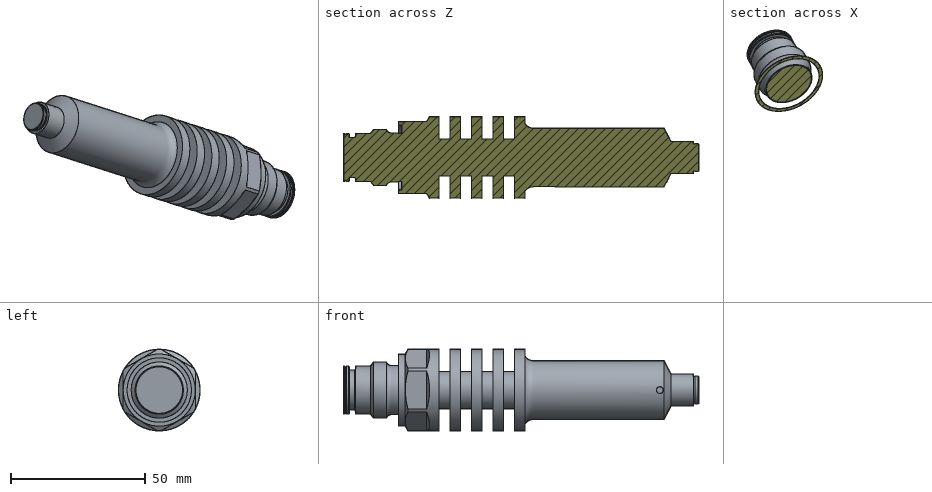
import cadquery as cq
import math

TOTAL_LENGTH = 132.6

NOSE_DIAMETER = 18.0
LIP_END = 0.3
LIP_GROOVE_DIAMETER = 17.4
RING_START = 0.8
RING_END = 2.2
RING_BEVEL = 0.3
SEAL_GROOVE_DIAMETER = 15.0
SEAL_GROOVE_END = 4.5
SEAL_GROOVE_BEVEL = 0.4

COLLAR_DIAMETER = 20.95
COLLAR_RAMP_START = 10.0
COLLAR_START = 11.2
COLLAR_END = 16.0
NECK_DIAMETER = 18.4
NECK_BLEND_RADIUS = 2.0

WASHER_DIAMETER = 26.9
WASHER_START = 20.5
FACE_GROOVE_INNER_DIAMETER = 18.0
FACE_GROOVE_OUTER_DIAMETER = 24.0
FACE_GROOVE_DEPTH = 1.2
HEX_ACROSS_FLATS = 27.0
HEX_START = 23.0
HEX_END = 31.0
HEX_BEVEL_ANGLE = 30.0
FLAT_RUNOUT = 1.1

FIN_DIAMETER = 30.5
FIN_CORE_DIAMETER = 14.0
FIN_THICKNESS = 4.0
FIN_PITCH = 8.0
FIN_GAP_COUNT = 4
FIRST_GAP_START = 35.7

TUBE_DIAMETER = 22.0
TUBE_BLEND_RADIUS = 4.0
TUBE_BLEND_FRONT_DIAMETER = 25.2
TUBE_END = 119.6
CONE_END = 122.2

PIN_DIAMETER = 2.5
PIN_X = 118.0

CONNECTOR_DIAMETER = 12.0
CONNECTOR_END = 130.5
TIP_NECK_DIAMETER = 10.2
TIP_START = 131.2
TIP_DIAMETER = 10.5
TIP_BEVEL = 0.3


def ring(start, end, inner_diameter, outer_diameter):
    """Ring of rectangular section about the X axis, from start to end."""
    annulus = cq.Workplane("YZ", origin=(start, 0, 0)).circle(outer_diameter / 2).circle(inner_diameter / 2)
    return annulus.extrude(end - start)


def add_blend(profile, start, start_radius, end_radius, blend_radius):
    """Concave arc from a larger radius down to a smaller one, ending tangent to the X axis."""
    start_angle = math.acos(1 - (start_radius - end_radius) / blend_radius)
    end = start + blend_radius * math.sin(start_angle)
    middle = (
        end - blend_radius * math.sin(start_angle / 2),
        end_radius + blend_radius * (1 - math.cos(start_angle / 2)),
    )
    return profile.lineTo(start, start_radius).threePointArc(middle, (end, end_radius))


def turned_body():
    nose = NOSE_DIAMETER / 2
    seal_groove = SEAL_GROOVE_DIAMETER / 2
    collar = COLLAR_DIAMETER / 2
    neck = NECK_DIAMETER / 2
    fin = FIN_DIAMETER / 2
    tube = TUBE_DIAMETER / 2
    washer = WASHER_DIAMETER / 2
    connector = CONNECTOR_DIAMETER / 2
    tip_neck = TIP_NECK_DIAMETER / 2
    tip = TIP_DIAMETER / 2
    hex_bevel_length = (fin - washer) * math.tan(math.radians(HEX_BEVEL_ANGLE))
    fins_end = FIRST_GAP_START + FIN_GAP_COUNT * FIN_PITCH

    profile = (
        cq.Workplane("XY")
        .moveTo(0, 0)
        .lineTo(0, nose)
        .lineTo(LIP_END, nose)
        .lineTo(LIP_END, LIP_GROOVE_DIAMETER / 2)
        .lineTo(RING_START, LIP_GROOVE_DIAMETER / 2)
        .lineTo(RING_START + RING_BEVEL, nose)
        .lineTo(RING_END - RING_BEVEL, nose)
        .lineTo(RING_END, nose - RING_BEVEL)
        .lineTo(RING_END, seal_groove)
        .lineTo(SEAL_GROOVE_END - SEAL_GROOVE_BEVEL, seal_groove)
        .lineTo(SEAL_GROOVE_END, seal_groove + SEAL_GROOVE_BEVEL)
        .lineTo(SEAL_GROOVE_END, nose)
        .lineTo(COLLAR_RAMP_START, nose)
        .lineTo(COLLAR_START, collar)
    )
    profile = add_blend(profile, COLLAR_END, collar, neck, NECK_BLEND_RADIUS)
    profile = (
        profile.lineTo(WASHER_START, neck)
        .lineTo(WASHER_START, washer)
        .lineTo(HEX_START, washer)
        .lineTo(HEX_START + hex_bevel_length, fin)
        .lineTo(fins_end, fin)
    )
    profile = add_blend(profile, fins_end, TUBE_BLEND_FRONT_DIAMETER / 2, tube, TUBE_BLEND_RADIUS)
    profile = (
        profile.lineTo(TUBE_END, tube)
        .lineTo(CONE_END, connector)
        .lineTo(CONNECTOR_END, connector)
        .lineTo(CONNECTOR_END, tip_neck)
        .lineTo(TIP_START, tip_neck)
        .lineTo(TIP_START, tip)
        .lineTo(TOTAL_LENGTH - TIP_BEVEL, tip)
        .lineTo(TOTAL_LENGTH, tip - TIP_BEVEL)
        .lineTo(TOTAL_LENGTH, 0)
        .close()
    )
    return profile.revolve(360, (0, 0, 0), (1, 0, 0))


def cut_face_groove(body):
    """Seal groove in the front face of the washer, running down to the neck."""
    floor = WASHER_START + FACE_GROOVE_DEPTH
    return body.cut(ring(WASHER_START, floor, FACE_GROOVE_INNER_DIAMETER, FACE_GROOVE_OUTER_DIAMETER))


def hex_flat_cutter():
    """Wedge that mills the flat on the +Y side, with a sloped run-out into the fin."""
    flat = HEX_ACROSS_FLATS / 2
    fin = FIN_DIAMETER / 2
    profile = [
        (HEX_START, flat),
        (HEX_END, flat),
        (HEX_END + FLAT_RUNOUT, fin),
        (HEX_START, fin),
    ]
    return cq.Workplane("XY").polyline(profile).close().extrude(fin, both=True)


def cut_hexagon(body):
    for corner in range(6):
        body = body.cut(hex_flat_cutter().rotate((0, 0, 0), (1, 0, 0), 60 * corner))
    return body


def cut_fin_gaps(body):
    gap_length = FIN_PITCH - FIN_THICKNESS
    for index in range(FIN_GAP_COUNT):
        start = FIRST_GAP_START + index * FIN_PITCH
        body = body.cut(ring(start, start + gap_length, FIN_CORE_DIAMETER, FIN_DIAMETER))
    return body


def marker_pin():
    return cq.Workplane("XZ").center(PIN_X, 0).circle(PIN_DIAMETER / 2).extrude(TUBE_DIAMETER / 2)


body = turned_body()
body = cut_face_groove(body)
body = cut_hexagon(body)
body = cut_fin_gaps(body)
result = body.union(marker_pin())